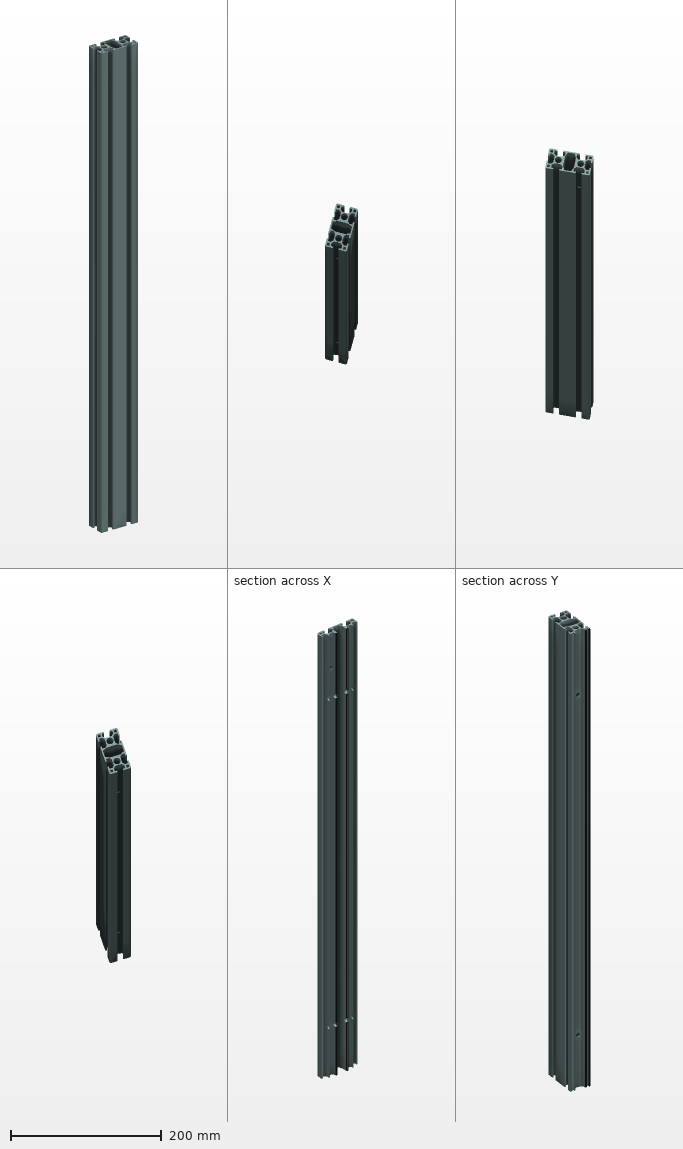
import cadquery as cq

module = 30.0
width = module
depth = 2 * module
length = 700.0
corner_radius = 2.3

slot_opening = 8.0
mouth_chamfer = 0.55
lip_thickness = 2.2
slot_inner_width = 15.0
slot_straight_depth = 6.0
slot_depth = 9.0
slot_floor_width = 9.0
groove_width = 2.0
groove_depth = 1.0

bore_diameter = 9.0
corner_hollow = 3.5
corner_hollow_offset = 3.85
chamber_width = 26.5
chamber_depth = 15.0
chamber_chamfer_x = 6.0
chamber_chamfer_y = 3.0

access_diameter = 6.0
front_hole_heights = (80.0, length - 100.0)
side_hole_height = length - 55.0

bore_y = module / 2


def slot_cutter(face_x, face_y, angle):
    """T-slot open on the face point given, cutting inward; angle 0 cuts toward -Y."""
    half_profile = [
        (slot_opening / 2 + mouth_chamfer, 0),
        (slot_opening / 2, -mouth_chamfer),
        (slot_opening / 2, -lip_thickness),
        (slot_inner_width / 2, -lip_thickness),
        (slot_inner_width / 2, -slot_straight_depth),
        (slot_floor_width / 2, -slot_depth),
        (groove_width / 2, -slot_depth),
    ]
    groove_bottom = (0, -slot_depth - groove_depth)
    mirrored = [(-x, y) for x, y in reversed(half_profile)]
    outline = half_profile + [groove_bottom] + mirrored
    cutter = cq.Workplane("XY").polyline(outline).close().extrude(length)
    return cutter.rotate((0, 0, 0), (0, 0, 1), angle).translate((face_x, face_y, 0))


bar = cq.Workplane("XY").rect(width, depth).extrude(length).edges("|Z").fillet(corner_radius)

bar = bar.cut(slot_cutter(0, depth / 2, 0))
bar = bar.cut(slot_cutter(0, -depth / 2, 180))
for y in (-bore_y, bore_y):
    bar = bar.cut(slot_cutter(-width / 2, y, 90))
    bar = bar.cut(slot_cutter(width / 2, y, 270))

bore_centres = [(0, -bore_y), (0, bore_y)]
bores = cq.Workplane("XY").pushPoints(bore_centres).circle(bore_diameter / 2).extrude(length)
bar = bar.cut(bores)

corner_hollows = (
    cq.Workplane("XY")
    .rect(width - 2 * corner_hollow_offset, depth - 2 * corner_hollow_offset, forConstruction=True)
    .vertices()
    .rect(corner_hollow, corner_hollow)
    .extrude(length)
)
bar = bar.cut(corner_hollows)

chamber_x = chamber_width / 2
chamber_y = chamber_depth / 2
chamber_corner = [
    (chamber_x, chamber_y - chamber_chamfer_y),
    (chamber_x - chamber_chamfer_x, chamber_y),
]
chamber_back = chamber_corner + [(-x, y) for x, y in reversed(chamber_corner)]
chamber_front = [(-x, -y) for x, y in chamber_back]
chamber = cq.Workplane("XY").polyline(chamber_back + chamber_front).close().extrude(length)
bar = bar.cut(chamber)

for z in front_hole_heights:
    hole = cq.Workplane("XZ", origin=(0, 0, z)).circle(access_diameter / 2).extrude(depth / 2, both=True)
    bar = bar.cut(hole)

side_hole = (
    cq.Workplane("YZ", origin=(0, -bore_y, side_hole_height))
    .circle(access_diameter / 2)
    .extrude(width / 2, both=True)
)
bar = bar.cut(side_hole)

result = bar